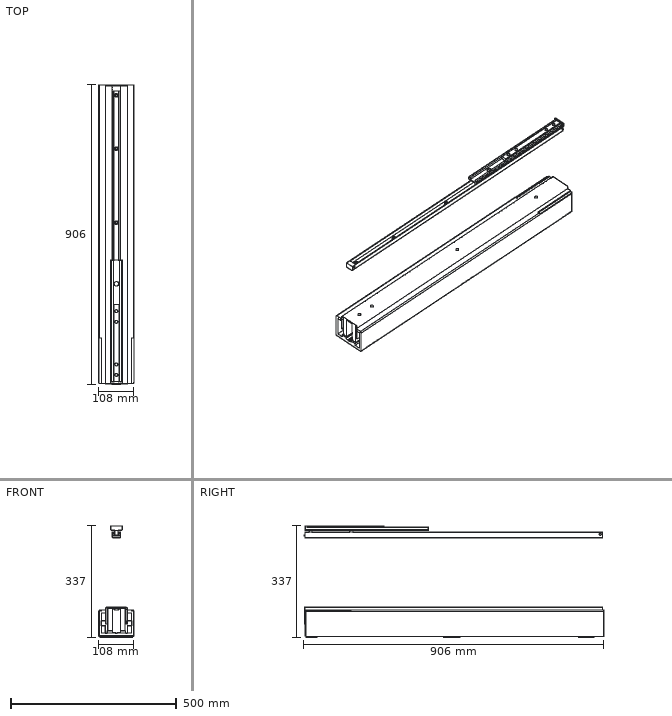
import cadquery as cq

FRONT_Y = -453.0
REAR_Y = 453.0
REAR_SETBACK = 4.0

COVER_WIDTH = 108.0
COVER_TOP_Z = 83.0
COVER_WALL = 8.0
COVER_FRONT_Y = -450.0
FRONT_CHAMFER = 3.0
FLOOR_TOP_Z = 13.0
LIP_THICKNESS = 9.0
BOTTOM_FILLET = 4.0
TOP_BEVEL_WIDTH = 3.0
TOP_BEVEL_HEIGHT = 5.0
REBATE_LENGTH = 138.5
REBATE_DEPTH = 4.0

FOOT_HEIGHT = 3.0
FOOT_WIDTH = 98.0
FOOT_SPANS = [(-446.0, -414.0), (-31.0, 18.0), (376.0, 423.0)]

RIB_FRONT_Y = -428.0
SIDE_RIB_TOP_Z = 20.0
CENTRE_RIB_TOP_Z = 15.0
CENTRE_GROOVE_WIDTH = 6.0

BOSS_Y = -430.0
UPPER_BOSS_DIAMETER = 30.0
UPPER_BOSS_Z = 65.0
LOWER_BOSS_DIAMETER = 26.0
LOWER_BOSS_Z = 23.0

PLATE_WIDTH = 67.0
PLATE_TOP_Z = 91.0
PLATE_SIDE_BOTTOM_Z = 40.0
PLATE_THICKNESS = 5.0
PLATE_FILLET = 5.0
CEILING_Z = 87.0
PLATE_FRONT_Y = -451.0
PLATE_REAR_Y = REAR_Y - REAR_SETBACK
PLATE_HOLE_DIAMETER = 8.5
PLATE_HOLE_YS = [-349.0, -12.0, 353.0, 406.5]
DIMPLE_TOP_DIAMETER = 19.0
DIMPLE_BOTTOM_DIAMETER = 11.0
DIMPLE_DEPTH = 4.5

BAR_FRONT_Y = -421.0
BAR_INNER_X = 12.0
BAR_OUTER_X = 26.0
BAR_BOTTOM_Z = 21.0

RAIL_WIDTH = 25.0
RAIL_BOTTOM_Z = 301.0
RAIL_TOP_Z = 318.0
NIB_LENGTH = 3.0
RAIL_FRONT_Y = FRONT_Y + NIB_LENGTH
RAIL_REAR_Y = REAR_Y - REAR_SETBACK
RAIL_FILLET = 4.0
SLOT_TOP_WIDTH = 21.0
SLOT_FLOOR_WIDTH = 14.0
SLOT_FLOOR_Z = 310.0
SLOT_REAR_STOP = 14.5
RAIL_HOLE_DIAMETER = 6.0
RAIL_SINK_DIAMETER = 11.0
RAIL_SINK_DEPTH = 4.0
RAIL_HOLE_YS = [36.0, 260.0, 421.0]
CROSS_HOLE_DIAMETER = 6.0
CROSS_HOLE_Y = 442.0
CROSS_HOLE_Z = 311.0
NIB_HEIGHT = 3.0

ARM_WIDTH = 35.0
ARM_BOTTOM_Z = 323.0
ARM_TOP_Z = 334.0
ARM_FRONT_Y = -449.0
ARM_REAR_Y = -77.0
ARM_FLOOR = 4.0
ARM_CHAMFER = 3.0
ARM_HOLE_DIAMETER = 14.0
ARM_HOLE_Y = -148.5
INSERT_WIDTH = 19.0
INSERT_TOP_Z = 337.0
INSERT_REAR_Y = -211.0
END_WALL = 5.0
INSERT_CHAMFER = 2.0
INSERT_HOLE_DIAMETER = 8.5
INSERT_HOLE_YS = [-231.0, -263.5, -392.0, -424.0]
INSERT_HOLE_DEPTH = 5.0

PINS = [(11.0, -310.0), (8.9, -433.0)]


def box(x0, x1, y0, y1, z0, z1):
    """A box given by its limits along each axis."""
    return cq.Workplane("XY").box(x1 - x0, y1 - y0, z1 - z0, centered=False).translate((x0, y0, z0))


def extrude_along_y(points, y0, y1):
    """A closed outline of (x, z) points, extruded from y0 to y1."""
    return cq.Workplane("XZ", origin=(0, y1, 0)).polyline(points).close().extrude(y1 - y0)


def vertical_cylinder(diameter, y, z0, z1):
    return cq.Workplane("XY", origin=(0, y, z0)).circle(diameter / 2).extrude(z1 - z0)


def cross_cylinder(diameter, x0, x1, y, z):
    """A cylinder along X from x0 to x1."""
    return cq.Workplane("YZ", origin=(x0, y, z)).circle(diameter / 2).extrude(x1 - x0)


def mirrored(body):
    """The body together with its mirror image across the X = 0 plane."""
    return body.union(body.mirror("YZ"))


def make_cover():
    outer_x = COVER_WIDTH / 2
    inner_x = outer_x - COVER_WALL
    lip_x = PLATE_WIDTH / 2
    lip_bottom_z = COVER_TOP_Z - LIP_THICKNESS
    right_half = [
        (outer_x, FOOT_HEIGHT),
        (outer_x, COVER_TOP_Z - TOP_BEVEL_HEIGHT),
        (outer_x - TOP_BEVEL_WIDTH, COVER_TOP_Z),
        (lip_x, COVER_TOP_Z),
        (lip_x, lip_bottom_z),
        (inner_x, lip_bottom_z),
        (inner_x, FLOOR_TOP_Z),
    ]
    left_half = [(-x, z) for x, z in reversed(right_half)]
    cover = extrude_along_y(right_half + left_half, COVER_FRONT_Y, REAR_Y)
    cover = cover.edges("|Y and <Z").fillet(BOTTOM_FILLET)
    front_outline = cover.faces("<Y").edges("<X or >X or <Z")
    cover = front_outline.chamfer(FRONT_CHAMFER)

    side_rib = box(BAR_INNER_X, PLATE_WIDTH / 2 - PLATE_THICKNESS, RIB_FRONT_Y, REAR_Y,
                   FOOT_HEIGHT, SIDE_RIB_TOP_Z)
    centre_rib = box(CENTRE_GROOVE_WIDTH / 2, BAR_INNER_X, RIB_FRONT_Y, REAR_Y,
                     FOOT_HEIGHT, CENTRE_RIB_TOP_Z)
    cover = cover.union(mirrored(side_rib.union(centre_rib)))

    bosses = cross_cylinder(UPPER_BOSS_DIAMETER, lip_x, inner_x, BOSS_Y, UPPER_BOSS_Z).union(
        cross_cylinder(LOWER_BOSS_DIAMETER, lip_x, inner_x, BOSS_Y, LOWER_BOSS_Z))
    cover = cover.union(mirrored(bosses))

    rebate = box(inner_x, outer_x, COVER_FRONT_Y, COVER_FRONT_Y + REBATE_LENGTH,
                 COVER_TOP_Z - REBATE_DEPTH, COVER_TOP_Z)
    cover = cover.cut(rebate).cut(rebate.mirror("YZ"))

    for y0, y1 in FOOT_SPANS:
        cover = cover.union(box(-FOOT_WIDTH / 2, FOOT_WIDTH / 2, y0, y1, 0, FOOT_HEIGHT))
    return cover


def make_back_plate():
    half = PLATE_WIDTH / 2
    inner_x = half - PLATE_THICKNESS
    plate = box(-half, half, PLATE_FRONT_Y, PLATE_REAR_Y, PLATE_SIDE_BOTTOM_Z, PLATE_TOP_Z)
    plate = plate.edges("|Y and >Z").fillet(PLATE_FILLET)
    plate = plate.cut(box(-inner_x, inner_x, PLATE_FRONT_Y, PLATE_REAR_Y, PLATE_SIDE_BOTTOM_Z, CEILING_Z))
    bar = box(BAR_INNER_X, BAR_OUTER_X, BAR_FRONT_Y, PLATE_REAR_Y, BAR_BOTTOM_Z, CEILING_Z)
    plate = plate.union(mirrored(bar))
    for y in PLATE_HOLE_YS:
        dimple = (
            cq.Workplane("XY", origin=(0, y, CEILING_Z))
            .circle(DIMPLE_TOP_DIAMETER / 2)
            .workplane(offset=-DIMPLE_DEPTH)
            .circle(DIMPLE_BOTTOM_DIAMETER / 2)
            .loft()
        )
        hole = vertical_cylinder(PLATE_HOLE_DIAMETER, y, CEILING_Z - DIMPLE_DEPTH, PLATE_TOP_Z)
        plate = plate.union(dimple).cut(hole)
    return plate


def make_rail():
    half = RAIL_WIDTH / 2
    rail = box(-half, half, RAIL_FRONT_Y, RAIL_REAR_Y, RAIL_BOTTOM_Z, RAIL_TOP_Z)
    rail = rail.edges("|Y and <Z").fillet(RAIL_FILLET)

    slot = [
        (-SLOT_FLOOR_WIDTH / 2, SLOT_FLOOR_Z),
        (SLOT_FLOOR_WIDTH / 2, SLOT_FLOOR_Z),
        (SLOT_TOP_WIDTH / 2, RAIL_TOP_Z),
        (-SLOT_TOP_WIDTH / 2, RAIL_TOP_Z),
    ]
    rail = rail.cut(extrude_along_y(slot, RAIL_FRONT_Y, RAIL_REAR_Y - SLOT_REAR_STOP))

    for y in RAIL_HOLE_YS:
        rail = rail.cut(vertical_cylinder(RAIL_HOLE_DIAMETER, y, RAIL_BOTTOM_Z, SLOT_FLOOR_Z))
        sink_floor_z = SLOT_FLOOR_Z - RAIL_SINK_DEPTH
        rail = rail.cut(vertical_cylinder(RAIL_SINK_DIAMETER, y, sink_floor_z, SLOT_FLOOR_Z))
    rail = rail.cut(cross_cylinder(CROSS_HOLE_DIAMETER, -half, half, CROSS_HOLE_Y, CROSS_HOLE_Z))

    nib = box(-half, half, FRONT_Y, RAIL_FRONT_Y, SLOT_FLOOR_Z - NIB_HEIGHT, SLOT_FLOOR_Z)
    return rail.union(nib)


def make_arm_channel():
    half = ARM_WIDTH / 2
    cavity_x = INSERT_WIDTH / 2
    arm = box(-half, half, ARM_FRONT_Y, ARM_REAR_Y, ARM_BOTTOM_Z, ARM_TOP_Z)
    arm = arm.edges("|Y").chamfer(ARM_CHAMFER)
    end_wall = box(-half, half, ARM_FRONT_Y, ARM_FRONT_Y + END_WALL, ARM_TOP_Z - ARM_CHAMFER, INSERT_TOP_Z)
    arm = arm.union(end_wall)
    arm = arm.cut(box(-cavity_x, cavity_x, ARM_FRONT_Y + END_WALL, ARM_REAR_Y,
                      ARM_BOTTOM_Z + ARM_FLOOR, ARM_TOP_Z))
    return arm.cut(vertical_cylinder(ARM_HOLE_DIAMETER, ARM_HOLE_Y, ARM_BOTTOM_Z, ARM_BOTTOM_Z + ARM_FLOOR))


def make_arm_insert():
    half = INSERT_WIDTH / 2
    insert = box(-half, half, ARM_FRONT_Y + END_WALL, INSERT_REAR_Y,
                 ARM_BOTTOM_Z + ARM_FLOOR, INSERT_TOP_Z)
    insert = insert.edges("|Y and >Z").chamfer(INSERT_CHAMFER)
    for y in INSERT_HOLE_YS:
        hole_floor_z = INSERT_TOP_Z - INSERT_HOLE_DEPTH
        insert = insert.cut(vertical_cylinder(INSERT_HOLE_DIAMETER, y, hole_floor_z, INSERT_TOP_Z))
    return insert


def make_pin(diameter, y):
    """A pin that stands on the rail's slot floor and carries the arm."""
    return vertical_cylinder(diameter, y, SLOT_FLOOR_Z, ARM_BOTTOM_Z)


cover = make_cover()
back_plate = make_back_plate()
rail = make_rail()
arm_channel = make_arm_channel()
arm_insert = make_arm_insert()
pins = [make_pin(diameter, y) for diameter, y in PINS]

result = cq.Compound.makeCompound([
    cover.val(),
    back_plate.val(),
    rail.val(),
    arm_channel.val(),
    arm_insert.val(),
    *[pin.val() for pin in pins],
])